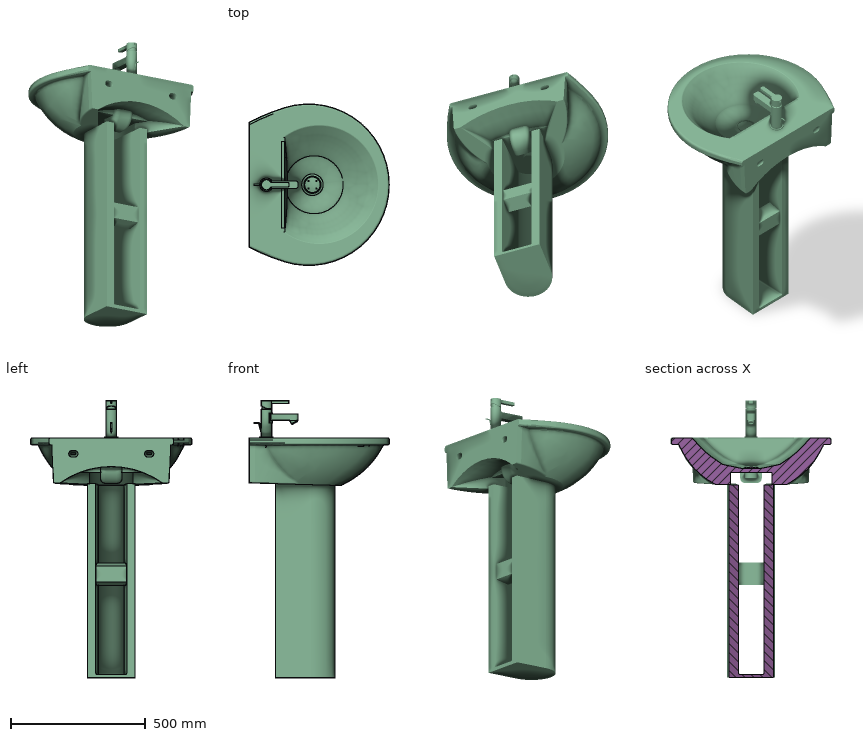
import cadquery as cq
import math

TOTAL_LENGTH = 519.75
TOTAL_WIDTH = 599.14
TOTAL_HEIGHT = 1029.05

RIM_TOP = 891.0
RIM_THICKNESS = 26.0
RIM_BOTTOM = RIM_TOP - RIM_THICKNESS
RIM_RADIUS = TOTAL_WIDTH / 2
RIM_CENTRE_X = TOTAL_LENGTH - RIM_RADIUS
RIM_ARC_START_X = 131.0
RIM_BACK_HALF_WIDTH = 231.6
RIM_TOP_FILLET = 8.0
RIM_BOTTOM_FILLET = 6.0

UNDERSIDE_BASE_Z = 710.0
BOWL_FLARE = 6.0
UNDERSIDE_SECTIONS = [
    (200.0, 132.0, UNDERSIDE_BASE_Z),
    (218.0, 223.0, 784.0),
    (226.0, 269.0, RIM_BOTTOM - BOWL_FLARE),
]
BLOCK_TOP_HALF_WIDTH = 221.0
BLOCK_SIDE_DRAFT = 7.0
BLOCK_STRAIGHT_LENGTH = 22.0
BLOCK_LENGTH = 200.0
BLOCK_MID_X = 115.0
BLOCK_MID_NARROWING = 24.0
BLOCK_END_NARROWING = 77.0
BLOCK_BOTTOM_FILLET = 5.0
BLOCK_JOINT_FILLET = 8.0

UNDERSIDE_WALL_Z = 723.5
UNDERSIDE_FRONT_Z = 714.0
UNDERSIDE_FRONT_X = 330.0

DRAIN_X = 234.6
FLOOR_Z = 778.0
BOWL_SECTIONS = [
    (DRAIN_X, 42.0, FLOOR_Z),
    (241.0, 107.5, 793.0),
    (251.0, 166.0, 836.0),
    (261.0, 219.0, RIM_TOP),
]
BOWL_BACK_TOP_X = 131.7
BOWL_BACK_FLOOR_X = 143.0
BOWL_EDGE_FILLET = 4.0
BACK_BEVEL_DEPTH = 4.0
BACK_BEVEL_WIDTH = 11.1
BACK_BEVEL_HALF_LENGTH = 160.0

ARCH_HALF_WIDTH = 189.0
ARCH_APEX_Z = 783.9
RECESS_DEPTH = 125.0
POCKET_RADIUS = 81.0
POCKET_TOP_Z = 762.0
POCKET_BACK_X = 170.0
RECESS_SIDE_SLOPE = (ARCH_HALF_WIDTH - POCKET_RADIUS) / POCKET_BACK_X
DUCT_HALF_WIDTH = 40.0
DUCT_FRONT_X = 190.0
DUCT_BACK_X = 110.0
DUCT_BOTTOM_Z = 722.0
DUCT_ROUND = 58.0
DUCT_SIDE_ROUND = 18.0

SLOT_Y = 140.8
SLOT_Z = 831.6
SLOT_WIDTH = 34.0
SLOT_HEIGHT = 24.0
SLOT_DEPTH = 40.0
SLOT_TAPER = 12.0

PEDESTAL_BACK_X = 97.0
PEDESTAL_FRONT_X = 318.5
PEDESTAL_RADIUS = 89.0
PEDESTAL_ROUND_X = PEDESTAL_FRONT_X - PEDESTAL_RADIUS
CAVITY_BACK_HALF_WIDTH = 57.6
CAVITY_ROUND_HALF_WIDTH = 48.0
CAVITY_FRONT_X = PEDESTAL_FRONT_X - (PEDESTAL_RADIUS - CAVITY_BACK_HALF_WIDTH)
CAVITY_ROUND_DEPTH = 30.0
CAVITY_ROUND_X = CAVITY_FRONT_X - CAVITY_ROUND_DEPTH
CAVITY_FLOOR_Z = 13.0
CAVITY_FLOOR_FILLET = 5.0
SHELF_SETBACK = 12.0
SHELF_BACK_X = PEDESTAL_BACK_X + SHELF_SETBACK
SHELF_DEPTH = 52.0
SHELF_BOTTOM_Z = 355.0
SHELF_TOP_Z = 414.5
SHELF_FLARE = 12.0

TAP_X = 64.0
TAP_RADIUS = 20.0
TAP_BASE_RADIUS = 25.0
TAP_BASE_HEIGHT = 3.5
TAP_BODY_TOP = 997.5
TAP_BODY_CHAMFER = 2.0
TAP_NECK_RADIUS = 17.5
HEAD_BOTTOM = 999.5
HEAD_BACK_Z = 1009.5
SCREW_HOLE_RADIUS = 6.5 / 2
SCREW_HOLE_Z = 1022.0
SCREW_HOLE_DEPTH = 5.0
LEVER_THICKNESS = 11.0
LEVER_WIDTH = 17.0
LEVER_END_X = 147.4
LEVER_CORNER = 5.0
SPOUT_TOP = 980.0
SPOUT_BOTTOM = 955.5
SPOUT_WIDTH = 29.0
SPOUT_END_X = 181.5
SPOUT_CORNER = 10.0
COLLAR_TOP = 982.5
COLLAR_BOTTOM = 946.5
COLLAR_HALF_WIDTH = 17.3
COLLAR_PROUD = 2.0
AERATOR_RADIUS = 23.15 / 2
AERATOR_BORE_RADIUS = 17.77 / 2
AERATOR_BORE_DEPTH = 3.0
AERATOR_LENGTH = 22.0
AERATOR_TILT = 30.0
AERATOR_FACE_X = 168.4
AERATOR_FACE_Z = 945.8

ROD_RADIUS = 2.0
ROD_END_X = 17.8
ROD_BEND_X = 32.0
ROD_TOP_Z = 946.5
ROD_BEND_RADIUS = 6.0
ROD_FOOT_X = 47.0
ROD_FOOT_Z = 905.0

DRAIN_FLANGE_RADIUS = 40.0
DRAIN_FLANGE_THICKNESS = 4.0
DRAIN_TAIL_RADIUS = 22.0
DRAIN_TAIL_BOTTOM = 740.0
PLUG_RADIUS = 29.0
PLUG_GAP = 3.0
PLUG_RISE = 4.0
PLUG_GROOVE_FLOOR_Z = FLOOR_Z + 1.0
PLUG_HOLE_OFFSET = 14.5
PLUG_HOLE_DIAMETER = 4.0
PLUG_HOLE_DEPTH = 3.0

LARGE = 1200.0
EDGE_MARGIN = 1.0


def below_underside():
    """Everything below the sloping underside of the basin."""
    slope = (UNDERSIDE_FRONT_Z - UNDERSIDE_WALL_Z) / UNDERSIDE_FRONT_X
    return (
        cq.Workplane("XZ", origin=(0, LARGE / 2, 0))
        .moveTo(-LARGE, UNDERSIDE_WALL_Z - slope * LARGE)
        .lineTo(LARGE, UNDERSIDE_WALL_Z + slope * LARGE)
        .lineTo(LARGE, -LARGE)
        .lineTo(-LARGE, -LARGE)
        .close()
        .extrude(LARGE)
    )


def basin_rim():
    """D-shaped slab: a round front joined by tangent arcs to the straight back."""
    start_dx = RIM_CENTRE_X - RIM_ARC_START_X
    start_y = math.sqrt(RIM_RADIUS**2 - start_dx**2)
    half = (
        cq.Workplane("XY", origin=(0, 0, RIM_BOTTOM))
        .moveTo(TOTAL_LENGTH, 0)
        .radiusArc((RIM_ARC_START_X, start_y), -RIM_RADIUS)
        .tangentArcPoint((0, RIM_BACK_HALF_WIDTH), relative=False)
        .lineTo(0, 0)
        .close()
        .extrude(RIM_THICKNESS)
    )
    rim = half.union(half.mirror("XZ"))
    rim = rim.faces(">Z").edges("not(<X)").fillet(RIM_TOP_FILLET)
    return rim.faces("<Z").edges("not(<X)").fillet(RIM_BOTTOM_FILLET)


def bowl_blend(sections):
    """Solid blended through level circles given as (centre X, radius, Z)."""
    circles = [
        cq.Wire.makeCircle(radius, cq.Vector(centre_x, 0, z), cq.Vector(0, 0, 1))
        for centre_x, radius, z in sections
    ]
    return cq.Workplane(cq.Solid.makeLoft(circles))


def basin_underside():
    """Outside of the bowl, flared below the rim and cut flat at the wall."""
    centre_x, radius, z = UNDERSIDE_SECTIONS[-1]
    flare = (
        cq.Workplane("XZ", origin=(centre_x, 0, 0))
        .moveTo(0, z)
        .lineTo(radius, z)
        .radiusArc((radius + BOWL_FLARE, RIM_BOTTOM), BOWL_FLARE)
        .lineTo(radius, RIM_BOTTOM + RIM_BOTTOM_FILLET)
        .lineTo(0, RIM_BOTTOM + RIM_BOTTOM_FILLET)
        .close()
        .revolve(360, (0, 0, 0), (0, 1, 0))
    )
    room_side = cq.Workplane("XY").box(LARGE, LARGE, 2 * LARGE, centered=(False, True, True))
    return bowl_blend(UNDERSIDE_SECTIONS).union(flare).intersect(room_side)


def block_plan(half_width, z):
    """Level outline of the block: straight at the wall, then curving in towards the bowl."""
    mid_y = half_width - BLOCK_MID_NARROWING
    end_y = half_width - BLOCK_END_NARROWING
    outline = (
        cq.Workplane("XY", origin=(0, 0, z))
        .moveTo(0, -half_width)
        .lineTo(BLOCK_STRAIGHT_LENGTH, -half_width)
        .threePointArc((BLOCK_MID_X, -mid_y), (BLOCK_LENGTH, -end_y))
        .lineTo(BLOCK_LENGTH, end_y)
        .threePointArc((BLOCK_MID_X, mid_y), (BLOCK_STRAIGHT_LENGTH, half_width))
        .lineTo(0, half_width)
        .close()
    )
    return outline.wire().val()


def wall_block():
    """Block between the bowl and the wall, its sides slightly drafted."""
    bottom = block_plan(BLOCK_TOP_HALF_WIDTH - BLOCK_SIDE_DRAFT, UNDERSIDE_BASE_Z)
    top = block_plan(BLOCK_TOP_HALF_WIDTH, RIM_BOTTOM + RIM_BOTTOM_FILLET)
    block = cq.Workplane(cq.Solid.makeLoft([bottom, top], ruled=True)).cut(below_underside())
    return block.faces("<Z").edges("not(<X or >X)").fillet(BLOCK_BOTTOM_FILLET)


def bowl_cavity():
    """Inside of the bowl: a shallow floor and a curved wall, cut by the leaning back wall."""
    cavity = bowl_blend(BOWL_SECTIONS[:2]).union(bowl_blend(BOWL_SECTIONS[1:]))
    lean = (BOWL_BACK_TOP_X - BOWL_BACK_FLOOR_X) / (RIM_TOP - FLOOR_Z)
    front_of_back_wall = (
        cq.Workplane("XZ", origin=(0, LARGE / 2, 0))
        .moveTo(BOWL_BACK_FLOOR_X, FLOOR_Z)
        .lineTo(BOWL_BACK_FLOOR_X + lean * 2 * (RIM_TOP - FLOOR_Z), 2 * RIM_TOP - FLOOR_Z)
        .lineTo(LARGE, 2 * RIM_TOP - FLOOR_Z)
        .lineTo(LARGE, FLOOR_Z)
        .close()
        .extrude(LARGE)
    )
    return cavity.intersect(front_of_back_wall)


def back_bevel():
    """Sloping ledge along the straight back edge of the bowl."""
    outer_x = BOWL_BACK_TOP_X - BACK_BEVEL_WIDTH
    return (
        cq.Workplane("XZ", origin=(0, BACK_BEVEL_HALF_LENGTH, 0))
        .moveTo(outer_x, RIM_TOP)
        .lineTo(BOWL_BACK_TOP_X + BACK_BEVEL_DEPTH, RIM_TOP)
        .lineTo(BOWL_BACK_TOP_X + BACK_BEVEL_DEPTH, RIM_TOP - BACK_BEVEL_DEPTH)
        .lineTo(BOWL_BACK_TOP_X, RIM_TOP - BACK_BEVEL_DEPTH)
        .close()
        .extrude(2 * BACK_BEVEL_HALF_LENGTH)
    )


def recess_plan(depth):
    """Plan of the recess, narrowing from the arch's width at the wall."""
    end_y = ARCH_HALF_WIDTH - RECESS_SIDE_SLOPE * depth
    corners = [(0, ARCH_HALF_WIDTH), (depth, end_y), (depth, -end_y), (0, -ARCH_HALF_WIDTH)]
    return cq.Workplane("XY").polyline(corners).close()


def underside_recess():
    """Arched opening in the wall face, leading to a round pocket under the drain."""
    arch = (
        cq.Workplane("YZ")
        .moveTo(-ARCH_HALF_WIDTH, UNDERSIDE_WALL_Z)
        .threePointArc((0, ARCH_APEX_Z), (ARCH_HALF_WIDTH, UNDERSIDE_WALL_Z))
        .lineTo(ARCH_HALF_WIDTH, UNDERSIDE_BASE_Z)
        .lineTo(-ARCH_HALF_WIDTH, UNDERSIDE_BASE_Z)
        .close()
        .extrude(POCKET_BACK_X)
    )
    behind_bowl = recess_plan(RECESS_DEPTH).extrude(RIM_TOP)
    below_bowl = recess_plan(POCKET_BACK_X).extrude(POCKET_TOP_Z)
    recess = behind_bowl.union(below_bowl).intersect(arch)
    pocket = (
        cq.Workplane("XY", origin=(0, 0, UNDERSIDE_BASE_Z))
        .moveTo(POCKET_BACK_X, -POCKET_RADIUS)
        .lineTo(DRAIN_X, -POCKET_RADIUS)
        .threePointArc((DRAIN_X + POCKET_RADIUS, 0), (DRAIN_X, POCKET_RADIUS))
        .lineTo(POCKET_BACK_X, POCKET_RADIUS)
        .close()
        .extrude(POCKET_TOP_Z - UNDERSIDE_BASE_Z)
    )
    return recess.union(pocket)


def overflow_duct():
    """Rounded duct hanging from the roof of the recess."""
    duct = cq.Workplane("XY").box(
        DUCT_FRONT_X - DUCT_BACK_X,
        2 * DUCT_HALF_WIDTH,
        ARCH_APEX_Z - DUCT_BOTTOM_Z,
        centered=(False, True, False),
    )
    duct = duct.translate((DUCT_BACK_X, 0, DUCT_BOTTOM_Z))
    duct = duct.edges("|Y and <X and <Z").fillet(DUCT_ROUND)
    return duct.faces("<Z").edges("|X").fillet(DUCT_SIDE_ROUND)


def fixing_slots():
    """Blind tapering slots for the wall fixings, long side horizontal."""
    return (
        cq.Workplane("YZ")
        .pushPoints([(-SLOT_Y, SLOT_Z), (SLOT_Y, SLOT_Z)])
        .slot2D(SLOT_WIDTH, SLOT_HEIGHT)
        .extrude(SLOT_DEPTH, taper=SLOT_TAPER)
    )


def make_basin():
    """Rim, bowl and wall block as one solid, hollowed from above and below."""
    underside = basin_underside().union(wall_block())
    joint_box = cq.selectors.BoxSelector(
        (BLOCK_STRAIGHT_LENGTH, -BLOCK_TOP_HALF_WIDTH, UNDERSIDE_WALL_Z + 2 * BLOCK_JOINT_FILLET),
        (BLOCK_LENGTH, BLOCK_TOP_HALF_WIDTH, RIM_BOTTOM - 2 * BLOCK_JOINT_FILLET),
    )
    joints = underside.edges(joint_box)
    basin = basin_rim().union(joints.fillet(BLOCK_JOINT_FILLET))
    basin = basin.cut(underside_recess()).union(overflow_duct())
    basin = basin.cut(fixing_slots()).cut(below_underside())
    basin = basin.cut(bowl_cavity())
    mouth_x, mouth_radius, mouth_z = BOWL_SECTIONS[-1]
    mouth_reach = mouth_radius + EDGE_MARGIN
    mouth_edges = cq.selectors.BoxSelector(
        (BOWL_BACK_TOP_X - EDGE_MARGIN, -mouth_reach, mouth_z - EDGE_MARGIN),
        (mouth_x + mouth_reach, mouth_reach, mouth_z + EDGE_MARGIN),
    )
    basin = basin.edges(mouth_edges).fillet(BOWL_EDGE_FILLET)
    return basin.cut(back_bevel())


def pedestal_plan(back_half_width, round_half_width, round_x, front_x):
    """Plan with a straight back and a round front."""
    return (
        cq.Workplane("XY")
        .moveTo(PEDESTAL_BACK_X, -back_half_width)
        .lineTo(round_x, -round_half_width)
        .threePointArc((front_x, 0), (round_x, round_half_width))
        .lineTo(PEDESTAL_BACK_X, back_half_width)
        .close()
    )


def pedestal_shelf():
    """Cross piece that thickens towards the front."""
    front_x = SHELF_BACK_X + SHELF_DEPTH
    return (
        cq.Workplane("XZ", origin=(0, PEDESTAL_RADIUS, 0))
        .moveTo(SHELF_BACK_X, SHELF_BOTTOM_Z)
        .lineTo(front_x, SHELF_BOTTOM_Z - SHELF_FLARE)
        .lineTo(front_x, SHELF_TOP_Z + SHELF_FLARE)
        .lineTo(SHELF_BACK_X, SHELF_TOP_Z)
        .close()
        .extrude(2 * PEDESTAL_RADIUS)
    )


def make_pedestal():
    """Column under the basin, open towards the wall, with a cross shelf."""
    column = pedestal_plan(PEDESTAL_RADIUS, PEDESTAL_RADIUS, PEDESTAL_ROUND_X, PEDESTAL_FRONT_X)
    column = column.extrude(RIM_BOTTOM).intersect(below_underside())
    cavity = pedestal_plan(
        CAVITY_BACK_HALF_WIDTH,
        CAVITY_ROUND_HALF_WIDTH,
        CAVITY_ROUND_X,
        CAVITY_FRONT_X,
    )
    cavity = cavity.extrude(RIM_BOTTOM).translate((0, 0, CAVITY_FLOOR_Z))
    cavity = cavity.faces("<Z").edges("not(<X)").fillet(CAVITY_FLOOR_FILLET)
    return column.cut(cavity.cut(pedestal_shelf()))


def cylinder(centre_x, radius, bottom, top):
    """Upright cylinder on the middle plane."""
    return cq.Workplane("XY", origin=(centre_x, 0, bottom)).circle(radius).extrude(top - bottom)


def arm(end_x, width, bottom, top, corner):
    """Straight arm from the tap's axis to a rounded end."""
    size = (end_x - TAP_X, width, top - bottom)
    bar = cq.Workplane("XY").box(*size, centered=(False, True, False))
    return bar.translate((TAP_X, 0, bottom)).edges("|Z and >X").fillet(corner)


def tap_head():
    """Round head with its underside sloping up towards the wall, a screw hole and the lever."""
    head = cylinder(TAP_X, TAP_RADIUS, HEAD_BOTTOM, TOTAL_HEIGHT)
    slope_cut = (
        cq.Workplane("XZ", origin=(0, TAP_RADIUS, 0))
        .moveTo(TAP_X - TAP_RADIUS, HEAD_BOTTOM)
        .lineTo(TAP_X, HEAD_BOTTOM)
        .lineTo(TAP_X - TAP_RADIUS, HEAD_BACK_Z)
        .close()
        .extrude(2 * TAP_RADIUS)
    )
    lever_bottom = TOTAL_HEIGHT - LEVER_THICKNESS
    lever = arm(LEVER_END_X, LEVER_WIDTH, lever_bottom, TOTAL_HEIGHT, LEVER_CORNER)
    screw_hole = (
        cq.Workplane("YZ", origin=(TAP_X - TAP_RADIUS, 0, SCREW_HOLE_Z))
        .circle(SCREW_HOLE_RADIUS)
        .extrude(SCREW_HOLE_DEPTH)
    )
    return head.cut(slope_cut).cut(screw_hole).union(lever)


def spout():
    """Flat spout with a collar hugging the body."""
    collar_blank = cq.Workplane("XY").box(
        2 * TAP_RADIUS,
        2 * COLLAR_HALF_WIDTH,
        COLLAR_TOP - COLLAR_BOTTOM,
        centered=(False, True, False),
    )
    collar_blank = collar_blank.translate((TAP_X, 0, COLLAR_BOTTOM))
    collar_round = cylinder(TAP_X, TAP_RADIUS + COLLAR_PROUD, COLLAR_BOTTOM, COLLAR_TOP)
    bar = arm(SPOUT_END_X, SPOUT_WIDTH, SPOUT_BOTTOM, SPOUT_TOP, SPOUT_CORNER)
    return bar.union(collar_blank.intersect(collar_round))


def aerator_cylinder(radius, length):
    """Cylinder rising from the tilted outlet face."""
    tilt = math.radians(AERATOR_TILT)
    face = cq.Plane(
        origin=(AERATOR_FACE_X, 0, AERATOR_FACE_Z),
        xDir=(0, 1, 0),
        normal=(-math.sin(tilt), 0, math.cos(tilt)),
    )
    return cq.Workplane(face).circle(radius).extrude(length)


def popup_rod():
    """Bent rod that comes out of the body's back and ends in a level handle."""
    path = (
        cq.Workplane("XZ")
        .moveTo(ROD_END_X, ROD_TOP_Z)
        .lineTo(ROD_BEND_X, ROD_TOP_Z)
        .tangentArcPoint((ROD_BEND_RADIUS, -ROD_BEND_RADIUS))
        .lineTo(ROD_FOOT_X, ROD_FOOT_Z)
    )
    start = cq.Workplane("YZ", origin=(ROD_END_X, 0, ROD_TOP_Z))
    return start.circle(ROD_RADIUS).sweep(path, transition="round")


def make_tap():
    """Single-lever tap with its spout, aerator and pop-up rod."""
    base = cylinder(TAP_X, TAP_BASE_RADIUS, RIM_TOP, RIM_TOP + TAP_BASE_HEIGHT)
    body = cylinder(TAP_X, TAP_RADIUS, RIM_TOP, TAP_BODY_TOP)
    body = body.faces(">Z").edges().chamfer(TAP_BODY_CHAMFER)
    neck = cylinder(TAP_X, TAP_NECK_RADIUS, TAP_BODY_TOP - TAP_BODY_CHAMFER, HEAD_BACK_Z)
    tap = body.union(base).union(neck).union(tap_head()).union(spout())
    tap = tap.union(aerator_cylinder(AERATOR_RADIUS, AERATOR_LENGTH))
    tap = tap.cut(aerator_cylinder(AERATOR_BORE_RADIUS, AERATOR_BORE_DEPTH))
    return tap.union(popup_rod())


def make_drain():
    """Flange and tail, with a domed plug standing in a ring groove."""
    flange_top = FLOOR_Z + DRAIN_FLANGE_THICKNESS
    dome_radius = (PLUG_RADIUS**2 + PLUG_RISE**2) / (2 * PLUG_RISE)
    drain = (
        cq.Workplane("XZ", origin=(DRAIN_X, 0, 0))
        .moveTo(0, DRAIN_TAIL_BOTTOM)
        .lineTo(DRAIN_TAIL_RADIUS, DRAIN_TAIL_BOTTOM)
        .lineTo(DRAIN_TAIL_RADIUS, FLOOR_Z)
        .lineTo(DRAIN_FLANGE_RADIUS, FLOOR_Z)
        .lineTo(PLUG_RADIUS + PLUG_GAP, flange_top)
        .lineTo(PLUG_RADIUS + PLUG_GAP, PLUG_GROOVE_FLOOR_Z)
        .lineTo(PLUG_RADIUS, PLUG_GROOVE_FLOOR_Z)
        .lineTo(PLUG_RADIUS, flange_top)
        .radiusArc((0, flange_top + PLUG_RISE), -dome_radius)
        .close()
        .revolve(360, (0, 0, 0), (0, 1, 0))
    )
    holes = (
        cq.Workplane("XY", origin=(DRAIN_X, 0, flange_top + PLUG_RISE))
        .rect(2 * PLUG_HOLE_OFFSET, 2 * PLUG_HOLE_OFFSET, forConstruction=True)
        .vertices()
        .circle(PLUG_HOLE_DIAMETER / 2)
        .extrude(-PLUG_HOLE_DEPTH)
    )
    return drain.cut(holes)


pedestal = make_pedestal()
tap = make_tap()
drain = make_drain()
basin = make_basin().cut(drain)

result = cq.Compound.makeCompound([basin.val(), pedestal.val(), tap.val(), drain.val()])